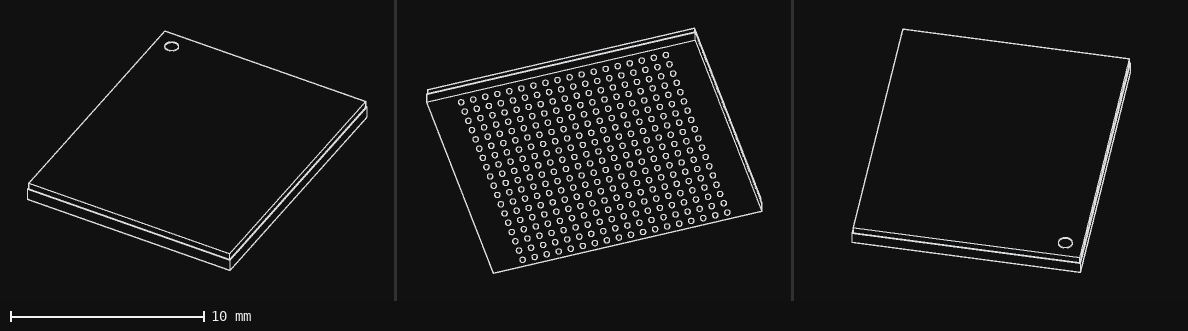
import cadquery as cq

width = 12.0
length = 14.5
height = 1.25

ball_height = 0.19
cap_height = 0.38
substrate_height = height - ball_height - cap_height
cap_setback = 0.05

balls_per_side = 18
ball_grid_span = 11.05
ball_pitch = ball_grid_span / (balls_per_side - 1)
ball_radius = 0.15

mark_diameter = 0.72
mark_edge_distance = 0.97
mark_depth = 0.06


def make_substrate():
    return (
        cq.Workplane("XY")
        .workplane(offset=ball_height)
        .rect(width, length)
        .extrude(substrate_height)
    )


def make_cap():
    return (
        cq.Workplane("XY")
        .workplane(offset=ball_height + substrate_height)
        .rect(width - 2 * cap_setback, length - 2 * cap_setback)
        .extrude(cap_height)
    )


def make_mark():
    mark_x = mark_edge_distance - width / 2
    mark_y = length / 2 - mark_edge_distance
    return (
        cq.Workplane("XY")
        .workplane(offset=height - mark_depth)
        .center(mark_x, mark_y)
        .circle(mark_diameter / 2)
        .extrude(mark_depth)
    )


def make_balls():
    ball = cq.Solid.makeSphere(ball_radius, angleDegrees1=-90, angleDegrees2=90)
    return (
        cq.Workplane("XY")
        .workplane(offset=ball_radius)
        .rarray(ball_pitch, ball_pitch, balls_per_side, balls_per_side)
        .eachpoint(lambda location: ball.moved(location))
    )


body = make_substrate().union(make_cap()).cut(make_mark())
result = body.union(make_balls())